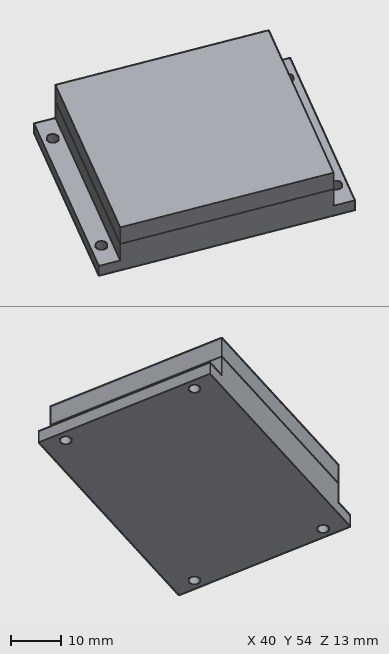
import cadquery as cq

width = 40.0
length = 54.0
height = 13.0

flange_thickness = 3.0
block_length = 45.0
flange_depth = (length - block_length) / 2

lid_thickness = (height - flange_thickness) / 2
lid_bottom = height - lid_thickness

hole_diameter = 2.4
hole_spacing_x = 30.0
hole_spacing_y = length - flange_depth


def slab(size_y, bottom, top):
    """Full-width rectangular slab centred on the Z axis."""
    return cq.Workplane("XY").workplane(offset=bottom).rect(width, size_y).extrude(top - bottom)


def make_base():
    """Flanged plate and lower block in one piece, with four mounting holes."""
    plate = slab(length, 0, flange_thickness)
    block = slab(block_length, flange_thickness, lid_bottom)
    holes = (
        cq.Workplane("XY")
        .rect(hole_spacing_x, hole_spacing_y, forConstruction=True)
        .vertices()
        .circle(hole_diameter / 2)
        .extrude(flange_thickness)
    )
    return plate.union(block, clean=False).cut(holes, clean=False)


def make_lid():
    """Plain lid resting on the base block."""
    return slab(block_length, lid_bottom, height)


base = make_base()
lid = make_lid()

result = cq.Compound.makeCompound([base.val(), lid.val()])